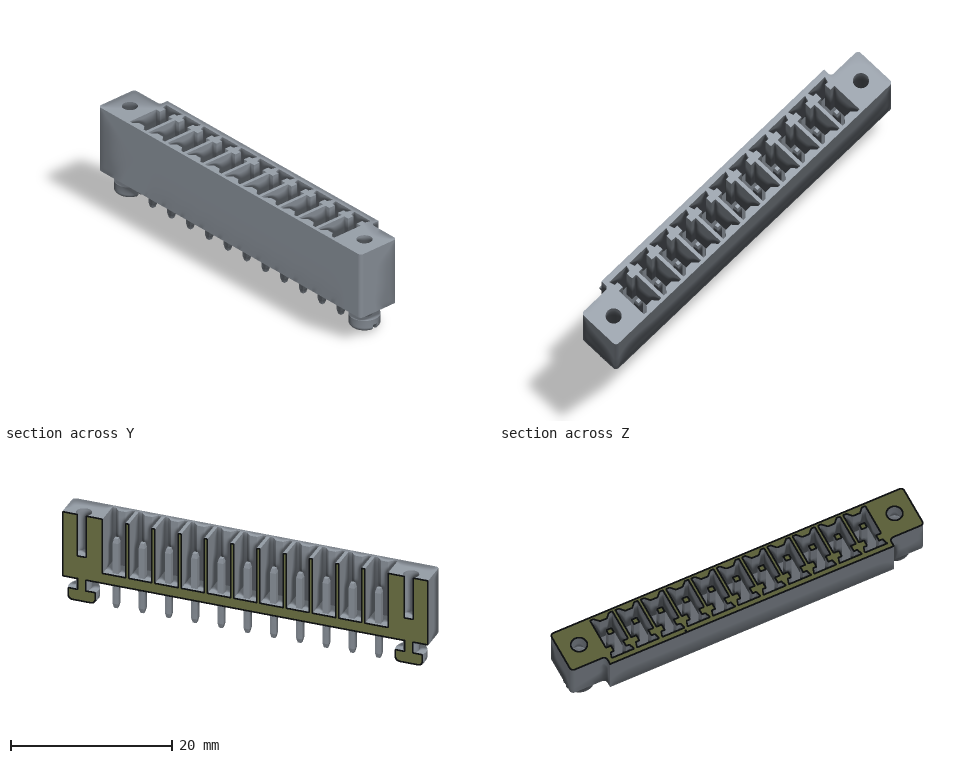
import cadquery as cq

LENGTH = 48.8
EAR_DEPTH = 6.05
BODY_DEPTH = 7.25
BODY_LENGTH = 39.3
HEIGHT = 9.15
CORNER_RADIUS = 0.5

RIB_PROJECTION = 0.3
RIB_HEIGHT = 0.7
RIB_BOTTOM = 5.7

PIN_COUNT = 11
PIN_ROW_LENGTH = 35.0
PIN_PITCH = PIN_ROW_LENGTH / (PIN_COUNT - 1)
PIN_SIZE = 0.8
PIN_TIP_SIZE = 0.5
PIN_TAPER = 0.65
PIN_PROJECTION = 3.45
PIN_TOP = 6.35
PIN_Y = 2.95

FLOOR = 1.45
CHAMBER_WIDTH = 3.05
CHAMBER_FRONT = 0.45
CHAMBER_BACK = 6.5
SHOULDER_Y = 4.85
NECK_WIDTH = 1.6
NECK_BACK = 5.75
DOVETAIL_WIDTH = 2.6
KEY_BASE_WIDTH = 2.15
KEY_TOP_WIDTH = 1.0
KEY_HEIGHT = 0.65

SCREW_X = 21.8
SCREW_Y = 3.0
SCREW_DIAMETER = 2.0
SCREW_NECK_LENGTH = 1.45
HEAD_DIAMETER = 4.0
HEAD_HEIGHT = 1.6
HEAD_ROUNDING = 0.6
SLOT_WIDTH = 0.7
SLOT_DEPTH = 0.9
HOLE_DEPTH = 5.85

PIN_POSITIONS = [i * PIN_PITCH - PIN_ROW_LENGTH / 2 for i in range(PIN_COUNT)]


def box(width, depth, height, x, y, z):
    """Box centred on x, with its front at y and its underside at z."""
    return cq.Workplane("XY").box(width, depth, height, centered=(True, False, False)).translate((x, y, z))


def make_housing():
    ears = box(LENGTH, EAR_DEPTH, HEIGHT, 0, 0, 0).edges("|Z").fillet(CORNER_RADIUS)
    body = box(BODY_LENGTH, BODY_DEPTH, HEIGHT, 0, 0, 0)
    housing = ears.union(body)
    for side in (-1, 1):
        step_corner = cq.selectors.NearestToPointSelector((side * BODY_LENGTH / 2, EAR_DEPTH, HEIGHT / 2))
        housing = housing.edges(step_corner).fillet(CORNER_RADIUS)
    rib = box(BODY_LENGTH, RIB_PROJECTION, RIB_HEIGHT, 0, BODY_DEPTH, RIB_BOTTOM)
    return housing.union(rib)


def make_chamber(x):
    """Chamber with a necked, dovetailed rear and a tapered key on its front wall."""
    right_half = [
        (CHAMBER_WIDTH / 2, CHAMBER_FRONT),
        (CHAMBER_WIDTH / 2, SHOULDER_Y),
        (NECK_WIDTH / 2, SHOULDER_Y),
        (NECK_WIDTH / 2, NECK_BACK),
        (DOVETAIL_WIDTH / 2, NECK_BACK),
        (CHAMBER_WIDTH / 2, CHAMBER_BACK),
    ]
    left_half = [(-px, py) for px, py in reversed(right_half)]
    depth = HEIGHT - FLOOR
    chamber = cq.Workplane("XY").polyline(right_half + left_half).close().extrude(depth)
    key_top = CHAMBER_FRONT + KEY_HEIGHT
    key_outline = [
        (KEY_BASE_WIDTH / 2, CHAMBER_FRONT),
        (KEY_TOP_WIDTH / 2, key_top),
        (-KEY_TOP_WIDTH / 2, key_top),
        (-KEY_BASE_WIDTH / 2, CHAMBER_FRONT),
    ]
    key = cq.Workplane("XY").polyline(key_outline).close().extrude(depth)
    return chamber.cut(key).translate((x, 0, FLOOR))


def make_pin(x):
    """Square contact pin, tapered at both ends."""
    def taper(z, direction):
        return (
            cq.Workplane("XY", origin=(x, PIN_Y, z))
            .rect(PIN_SIZE, PIN_SIZE)
            .workplane(offset=direction * PIN_TAPER)
            .rect(PIN_TIP_SIZE, PIN_TIP_SIZE)
            .loft()
        )

    shank_bottom = PIN_TAPER - PIN_PROJECTION
    shank_top = PIN_TOP - PIN_TAPER
    shank = box(PIN_SIZE, PIN_SIZE, shank_top - shank_bottom, x, PIN_Y - PIN_SIZE / 2, shank_bottom)
    return shank.union(taper(shank_bottom, -1)).union(taper(shank_top, 1))


def make_screw(x):
    """Screw neck and round slotted head hanging below an ear."""
    head_bottom = -SCREW_NECK_LENGTH - HEAD_HEIGHT
    neck = cq.Workplane("XY").circle(SCREW_DIAMETER / 2).extrude(-SCREW_NECK_LENGTH)
    head = (
        cq.Workplane("XY", origin=(0, 0, head_bottom))
        .circle(HEAD_DIAMETER / 2)
        .extrude(HEAD_HEIGHT)
        .faces("<Z")
        .edges()
        .fillet(HEAD_ROUNDING)
    )
    slot = box(HEAD_DIAMETER, SLOT_WIDTH, SLOT_DEPTH, 0, -SLOT_WIDTH / 2, head_bottom)
    return neck.union(head.cut(slot)).translate((x, SCREW_Y, 0))


def make_screw_hole(x):
    hole = cq.Workplane("XY", origin=(x, SCREW_Y, HEIGHT))
    return hole.circle(SCREW_DIAMETER / 2).extrude(-HOLE_DEPTH)


result = make_housing()
for pin_x in PIN_POSITIONS:
    result = result.cut(make_chamber(pin_x)).union(make_pin(pin_x))
for screw_x in (-SCREW_X, SCREW_X):
    result = result.union(make_screw(screw_x)).cut(make_screw_hole(screw_x))